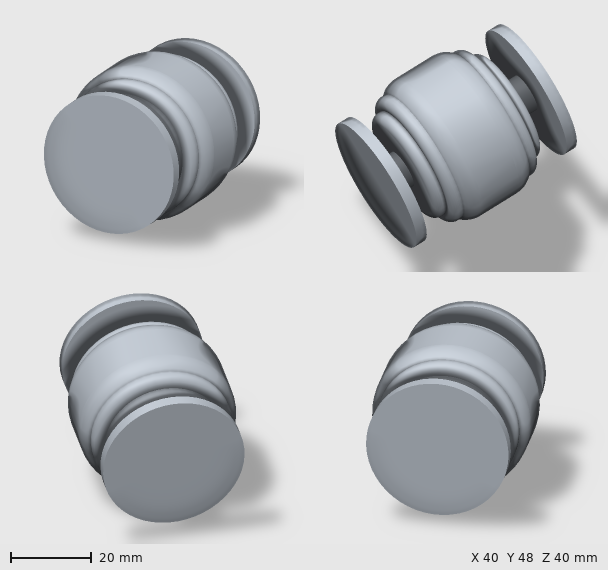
import cadquery as cq

total_length = 48.0
flange_diameter = 36.0
flange_thickness = 3.0
shaft_diameter = 10.0

drum_diameter = 40.0
drum_length = 23.0
drum_fillet = 6.0
shoulder_diameter = 36.0
shoulder_length = 26.0
collar_diameter = 30.0
collar_length = 31.95
step_fillet = 2.0


def centred_disc(diameter, length):
    """Disc along Y, centred on the origin, revolved from its half section."""
    section = cq.Workplane("YZ").center(0, diameter / 4).rect(length, diameter / 2)
    return section.revolve(360, (0, -diameter / 4), (1, -diameter / 4))


def rounded_disc(diameter, length, fillet):
    """Centred disc with both rims rounded."""
    return centred_disc(diameter, length).edges("%CIRCLE").fillet(fillet)


body = rounded_disc(drum_diameter, drum_length, drum_fillet)
body = body.union(rounded_disc(shoulder_diameter, shoulder_length, step_fillet))
body = body.union(rounded_disc(collar_diameter, collar_length, step_fillet))

shaft_length = total_length - 2 * flange_thickness
result = body.union(centred_disc(shaft_diameter, shaft_length))

flange_offset = (total_length - flange_thickness) / 2
for side in (-1, 1):
    flange = centred_disc(flange_diameter, flange_thickness)
    result = result.union(flange.translate((0, side * flange_offset, 0)))